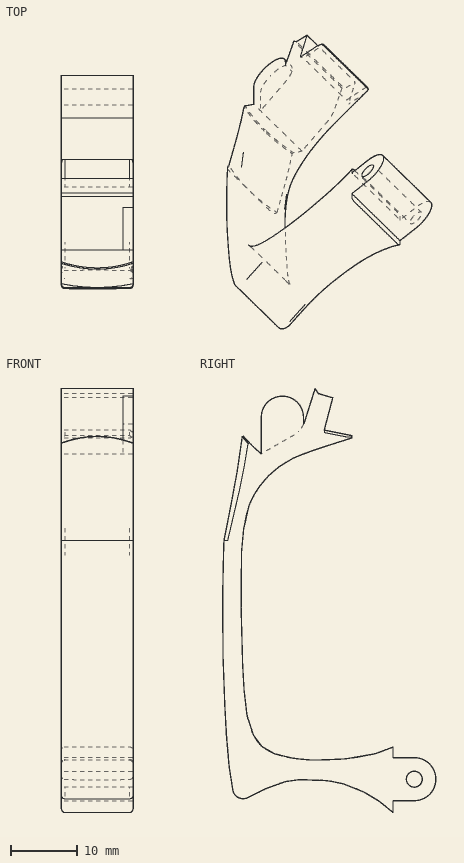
import cadquery as cq

WIDTH = 10.85
HALF_WIDTH = WIDTH / 2
EDGE_RADIUS = 0.6
EAR_BEVEL_DROP = 0.4
CREST_BEVEL = 0.25
CREST_SEARCH_SIZE = 0.45
FIT_TOLERANCE = 0.05

LENGTH_Y = 32.1
LUG_RADIUS = 3.25
LUG_HOLE_DIAMETER = 2.35
LUG_Y = LENGTH_Y - LUG_RADIUS
LUG_Z = 5.05
ARM_END_Y = 25.65

TAB_THICKNESS = 1.55
TAB_RADIUS = 3.2
TAB_Y = 9.0
TAB_Z = 59.5

ARM_TOP = (ARM_END_Y, 9.9)
ARM_BOTTOM = (ARM_END_Y, 0.0)
EAR_LOWER_TIP = (19.5, 56.4)
EAR_UPPER_TIP = (19.5, 56.75)
POST_ROOT = (15.3, 57.6)
POST_BACK_TOP = (16.6, 62.45)
POST_STEP = (14.4, 63.1)
POST_PEAK = (13.9, 63.85)
SEAT_FILLET_TOP = (12.3, 58.8)
SEAT_FILLET_MID = (11.75, 57.7)
SEAT_FILLET_BOTTOM = (10.7, 56.8)
SEAT_LOW = (TAB_Y - TAB_RADIUS, 54.0)
CREST_RISE = (4.15, 55.55)
CREST_TIP = (2.35, 57.65)
CREST_EDGE = (3.25, 56.6)
HEEL_FRONT = (1.55, 3.4)
HEEL_BACK = (3.9, 2.3)

FRONT_CURVE = [
    (1.65, 51.4), (1.0, 47.6), (0.4, 43.4), (0.2, 40.9), (0.05, 37.05),
    (0.0, 30.65), (0.05, 23.3), (0.3, 16.2), (0.6, 11.4), (1.0, 6.65),
]
ARM_LOWER_CURVE = [(6.25, 3.5), (9.45, 4.65), (13.65, 5.0), (18.15, 4.35), (21.3, 3.05), (23.55, 1.7)]
INNER_CURVE = [
    (22.9, 8.9), (18.45, 8.1), (13.65, 7.9), (10.7, 8.2), (7.85, 8.9), (5.95, 9.95),
    (4.65, 11.7), (3.7, 14.6), (3.25, 18.45), (3.0, 23.3), (2.8, 30.0), (2.9, 39.5),
    (3.2, 42.7), (4.0, 46.3), (5.6, 49.15), (8.5, 52.05), (10.7, 53.4), (14.0, 54.65),
]

CROWN_SECTIONS = [(40.9, 0.2, 0.75), (46.85, 1.35, 2.2), (51.4, 2.2, 3.1), (58.75, 3.2, 4.2)]
CROWN_CLEARANCE = 3.2


def make_body():
    """Extrude the side outline across the full width."""
    outline = (
        cq.Workplane("YZ", origin=(-HALF_WIDTH, 0, 0))
        .moveTo(*ARM_BOTTOM)
        .lineTo(*ARM_TOP)
        .spline(INNER_CURVE + [EAR_LOWER_TIP], includeCurrent=True)
        .lineTo(*EAR_UPPER_TIP)
        .lineTo(*POST_ROOT)
        .lineTo(*POST_BACK_TOP)
        .lineTo(*POST_STEP)
        .lineTo(*POST_PEAK)
        .lineTo(*SEAT_FILLET_TOP)
        .threePointArc(SEAT_FILLET_MID, SEAT_FILLET_BOTTOM)
        .lineTo(*SEAT_LOW)
        .threePointArc(CREST_RISE, CREST_TIP)
        .spline(FRONT_CURVE + [HEEL_FRONT], includeCurrent=True)
        .tangentArcPoint(HEEL_BACK, relative=False)
        .spline(ARM_LOWER_CURVE + [ARM_BOTTOM], includeCurrent=True)
        .close()
    )
    return outline.extrude(WIDTH)


def edges_through(body, points):
    """Both side edges of the body that pass through the given outline points."""
    sides = body.faces("<X or >X").edges().vals()
    marks = [cq.Vertex.makeVertex(x, y, z) for x in (-HALF_WIDTH, HALF_WIDTH) for y, z in points]
    return [edge for edge in sides if any(edge.distance(mark) < FIT_TOLERANCE for mark in marks)]


def round_edges(body):
    """Round the inner, front and lower edges on both sides."""
    smooth = [INNER_CURVE[0], FRONT_CURVE[0], ARM_LOWER_CURVE[0]]
    return body.newObject(edges_through(body, smooth)).fillet(EDGE_RADIUS)


def bevel_ear(body):
    """Bevel the side edges of the sloping top of the ear, stopping at the post."""
    drop = EAR_BEVEL_DROP
    for side in (-1, 1):
        outer_x = side * HALF_WIDTH
        inner_x = side * (HALF_WIDTH - EDGE_RADIUS)
        corners = []
        for y, z in (EAR_UPPER_TIP, POST_ROOT):
            corners.append([(inner_x, y, z), (outer_x, y, z), (outer_x, y, z - drop)])
        wires = [cq.Wire.makePolygon([cq.Vector(*p) for p in triangle], close=True) for triangle in corners]
        wedge = cq.Solid.makeLoft(wires, True)
        body = body.cut(cq.Workplane(wedge))
    return body


def bevel_crest(body):
    """Take the sharp corner off the curved crest above the crowned surface."""
    reach = CREST_SEARCH_SIZE
    y, z = CREST_EDGE
    near_crest = cq.selectors.BoxSelector((-reach, y - reach, z - reach), (reach, y + reach, z + reach))
    return body.edges(near_crest).chamfer(CREST_BEVEL)


def make_crown_cutter():
    """Material in front of the crowned surface, lofted through level sections."""
    wires = []
    for z, centre_y, side_y in CROWN_SECTIONS:
        section = (
            cq.Workplane("XY", origin=(0, 0, z))
            .moveTo(-HALF_WIDTH, side_y)
            .threePointArc((0, centre_y), (HALF_WIDTH, side_y))
            .lineTo(HALF_WIDTH, -CROWN_CLEARANCE)
            .lineTo(-HALF_WIDTH, -CROWN_CLEARANCE)
            .close()
        )
        wires.append(section.wire().val())
    return cq.Workplane(cq.Solid.makeLoft(wires))


def make_lug():
    """Round-ended hinge lug with a pin hole across the full width."""
    plane = cq.Workplane("YZ", origin=(-HALF_WIDTH, 0, 0))
    shank_length = LUG_Y - ARM_END_Y
    shank = plane.center(LUG_Y - shank_length / 2, LUG_Z).rect(shank_length, 2 * LUG_RADIUS)
    eye = cq.Workplane("YZ", origin=(-HALF_WIDTH, LUG_Y, LUG_Z))
    lug = shank.extrude(WIDTH).union(eye.circle(LUG_RADIUS).extrude(WIDTH))
    return lug.cut(eye.circle(LUG_HOLE_DIAMETER / 2).extrude(WIDTH))


def make_tab():
    """Flat tab with a round top, rising from the sloping seat at the +X side."""
    front_y = TAB_Y - TAB_RADIUS
    back_y = TAB_Y + TAB_RADIUS
    return (
        cq.Workplane("YZ", origin=(HALF_WIDTH - TAB_THICKNESS, 0, 0))
        .moveTo(*SEAT_LOW)
        .lineTo(front_y, TAB_Z)
        .threePointArc((TAB_Y, TAB_Z + TAB_RADIUS), (back_y, TAB_Z))
        .lineTo(back_y, SEAT_FILLET_BOTTOM[1])
        .lineTo(*SEAT_FILLET_BOTTOM)
        .close()
        .extrude(TAB_THICKNESS)
    )


body = bevel_ear(round_edges(make_body())).cut(make_crown_cutter())
body = bevel_crest(body)
result = body.union(make_lug()).union(make_tab())